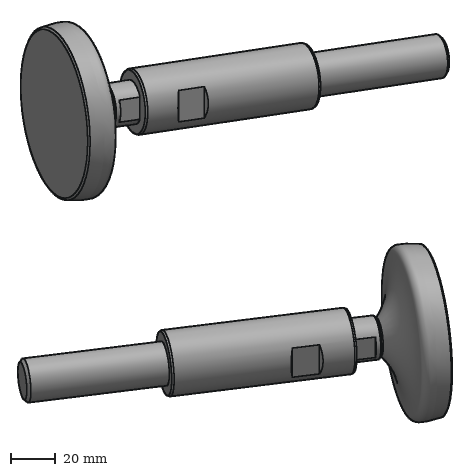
import cadquery as cq
import math


base_radius = 40.0
contact_face_radius = 38.0
base_edge_chamfer_height = 0.75
draft_angle = math.radians(8.0)
draft_top = 7.4
rim_round_start = 10.5
rim_round_radius = 3.5
hub_radius = 8.5
hub_top = 24.4

stud_radius = 5.0

collar_radius = 10.0
collar_bottom = 25.4
collar_chamfer = 0.5
collar_flat_bottom = 28.0
collar_across_flats = 17.0

sleeve_radius = 15.0
sleeve_bottom = 38.0
sleeve_length = 85.0
sleeve_chamfer_length = 1.0
sleeve_chamfer_depth = 0.5
sleeve_across_flats = 26.0
sleeve_flat_centre = 61.0
sleeve_flat_length = 12.4
sleeve_flat_end_angle = math.radians(30.0)

rod_radius = 10.0
rod_chamfer = 1.5
total_length = 188.0


def revolve_about_y(outline):
    return outline.close().revolve(360, (0, 0, 0), (0, 1, 0))


def make_base():
    rim_top = rim_round_start + rim_round_radius
    rim_round_inner = base_radius - rim_round_radius
    diagonal = rim_round_radius * math.sqrt(0.5)
    drafted_height = draft_top - base_edge_chamfer_height
    drafted_radius = base_radius - drafted_height * math.tan(draft_angle)
    return revolve_about_y(
        cq.Workplane("XY")
        .lineTo(contact_face_radius, 0)
        .lineTo(drafted_radius, base_edge_chamfer_height)
        .lineTo(base_radius, draft_top)
        .lineTo(base_radius, rim_round_start)
        .threePointArc(
            (rim_round_inner + diagonal, rim_round_start + diagonal),
            (rim_round_inner, rim_top),
        )
        .tangentArcPoint((hub_radius, hub_top), relative=False)
        .lineTo(0, hub_top)
    )


def make_cylinder(radius, start, end):
    return cq.Workplane("XZ", origin=(0, start, 0)).circle(radius).extrude(start - end)


def make_collar():
    collar = make_cylinder(collar_radius, collar_bottom, sleeve_bottom)
    collar = collar.faces("<Y").chamfer(collar_chamfer)
    flat_height = sleeve_bottom - collar_flat_bottom
    for side in (-1, 1):
        cutter = cq.Workplane("XY").box(
            collar_radius, flat_height, 2 * collar_radius, centered=(True, False, True)
        )
        offset = side * (collar_across_flats + collar_radius) / 2
        collar = collar.cut(cutter.translate((offset, collar_flat_bottom, 0)))
    return collar


def make_sleeve():
    sleeve_top = sleeve_bottom + sleeve_length
    end_radius = sleeve_radius - sleeve_chamfer_depth
    sleeve = revolve_about_y(
        cq.Workplane("XY")
        .moveTo(0, sleeve_bottom)
        .lineTo(end_radius, sleeve_bottom)
        .lineTo(sleeve_radius, sleeve_bottom + sleeve_chamfer_length)
        .lineTo(sleeve_radius, sleeve_top - sleeve_chamfer_length)
        .lineTo(end_radius, sleeve_top)
        .lineTo(0, sleeve_top)
    )
    flat_offset = sleeve_across_flats / 2
    half_floor = sleeve_flat_length / 2
    half_mouth = half_floor + (sleeve_radius - flat_offset) * math.tan(sleeve_flat_end_angle)
    for side in (-1, 1):
        notch = (
            cq.Workplane("XY")
            .polyline([
                (side * flat_offset, sleeve_flat_centre - half_floor),
                (side * sleeve_radius, sleeve_flat_centre - half_mouth),
                (side * sleeve_radius, sleeve_flat_centre + half_mouth),
                (side * flat_offset, sleeve_flat_centre + half_floor),
            ])
            .close()
            .extrude(sleeve_radius, both=True)
        )
        sleeve = sleeve.cut(notch)
    return sleeve


def make_rod():
    rod = make_cylinder(rod_radius, sleeve_bottom + sleeve_length, total_length)
    return rod.faces(">Y").chamfer(rod_chamfer)


def make_stud():
    return make_cylinder(stud_radius, hub_top, collar_bottom)


result = make_base().union(make_stud()).union(make_collar()).union(make_sleeve()).union(make_rod())